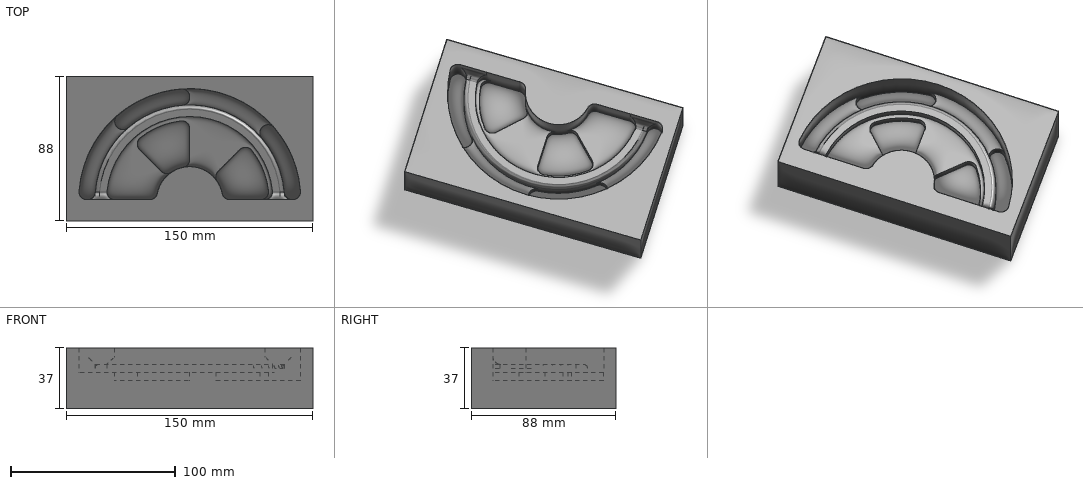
import cadquery as cq
import math

LENGTH = 150.0
WIDTH = 88.0
HEIGHT = 37.0

CAVITY_RADIUS = 67.5
BACK_MARGIN = 7.5
CENTRE_Y = WIDTH / 2 - BACK_MARGIN - CAVITY_RADIUS
HUB_RADIUS = 20.1
RIDGE_INNER_RADIUS = 50.5
RIDGE_OUTER_RADIUS = 57.6
POCKET_OUTER_RADIUS = 48.2

RIDGE_DEPTH = 10.0
CHANNEL_DEPTH = 15.0
POCKET_DEPTH = 20.0

CORNER_RADIUS = 4.8
RIDGE_EDGE_RADIUS = 2.5

TOP_Z = HEIGHT / 2
POCKET_SPAN = 45
POCKET_START_ANGLES = (0, 90)


def polar(radius, angle):
    """Point around the common centre, angle in degrees from +X."""
    turn = math.radians(angle)
    return radius * math.cos(turn), CENTRE_Y + radius * math.sin(turn)


def ring_sector(inner, outer, start, end, top_depth, bottom_depth):
    """Upright ring sector between two depths below the top face."""
    middle = (start + end) / 2
    return (
        cq.Workplane("XY", origin=(0, 0, TOP_Z - bottom_depth))
        .moveTo(*polar(inner, start))
        .lineTo(*polar(outer, start))
        .threePointArc(polar(outer, middle), polar(outer, end))
        .lineTo(*polar(inner, end))
        .threePointArc(polar(inner, middle), polar(inner, start))
        .close()
        .extrude(bottom_depth - top_depth)
    )


def channel(inner, outer):
    """Half-ring channel with rounded upright corners."""
    return ring_sector(inner, outer, 0, 180, 0, CHANNEL_DEPTH).edges("|Z").fillet(CORNER_RADIUS)


def pocket(inner, outer, start):
    """Rounded pocket sunk into a channel floor."""
    sector = ring_sector(inner, outer, start, start + POCKET_SPAN, CHANNEL_DEPTH, POCKET_DEPTH)
    return sector.edges("|Z").fillet(CORNER_RADIUS)


def ridge_clearance():
    """Space above the ridge; its bottom curves up into the straight wall at both ends."""
    space = ring_sector(RIDGE_INNER_RADIUS - CORNER_RADIUS, RIDGE_OUTER_RADIUS + CORNER_RADIUS,
                        0, 180, 0, RIDGE_DEPTH)
    return space.faces("<Y").edges("<Z").fillet(CORNER_RADIUS)


def ridge_edge_relief():
    """Half-ring removed to round the outer top edge of the ridge."""
    edge_start = RIDGE_OUTER_RADIUS - RIDGE_EDGE_RADIUS
    ridge_top = TOP_Z - RIDGE_DEPTH
    diagonal = RIDGE_EDGE_RADIUS * math.sqrt(0.5)
    section = (
        cq.Workplane("XZ", origin=(0, CENTRE_Y, 0))
        .moveTo(edge_start, ridge_top)
        .threePointArc(
            (edge_start + diagonal, ridge_top - RIDGE_EDGE_RADIUS + diagonal),
            (RIDGE_OUTER_RADIUS, ridge_top - RIDGE_EDGE_RADIUS),
        )
        .lineTo(RIDGE_OUTER_RADIUS, ridge_top)
        .close()
    )
    return section.revolve(180, (0, 0, 0), (0, 1, 0))


result = cq.Workplane("XY").box(LENGTH, WIDTH, HEIGHT)
result = result.cut(channel(HUB_RADIUS, RIDGE_INNER_RADIUS))
result = result.cut(channel(RIDGE_OUTER_RADIUS, CAVITY_RADIUS))
result = result.cut(ridge_clearance())
result = result.cut(ridge_edge_relief())
for start_angle in POCKET_START_ANGLES:
    result = result.cut(pocket(HUB_RADIUS, POCKET_OUTER_RADIUS, start_angle))
    result = result.cut(pocket(RIDGE_OUTER_RADIUS, CAVITY_RADIUS, start_angle))